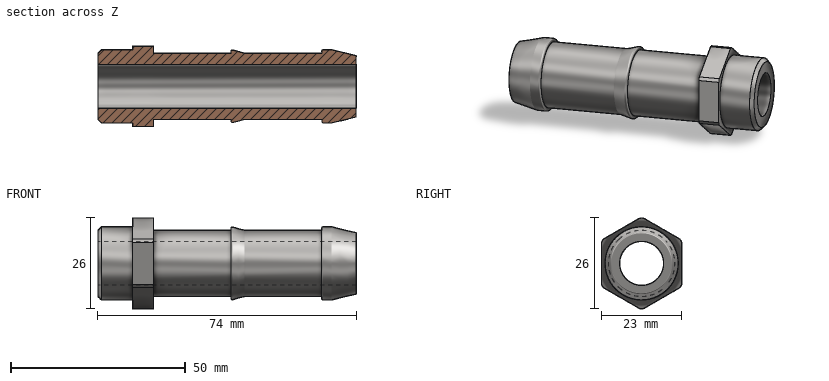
import cadquery as cq

length = 74
bore_diameter = 12.5
tube_diameter = 19.0

thread_diameter = 21.0
thread_length = 10.0
thread_chamfer = 1.0

hex_across_flats = 23.0
hex_corner_diameter = 26.0
hex_width = 6.0

barb_start = 38.0
barb_diameter = 21.2
barb_length = 4.0

head_start = 64.0
head_diameter = 21.0
head_straight_end = 67.0
tip_diameter = 17.6

barb_round = 0.5
tip_round = 0.4


def cylinder(start, diameter, height):
    return cq.Workplane("YZ", origin=(start, 0, 0)).circle(diameter / 2).extrude(height)


def revolve_about_x(points):
    return cq.Workplane("XY").polyline(points).close().revolve(360, (0, 0, 0), (1, 0, 0))


def make_hexagon():
    blank = cylinder(thread_length, hex_corner_diameter, hex_width)
    prism = (
        cq.Workplane("YZ", origin=(thread_length, 0, 0))
        .polygon(6, hex_across_flats, circumscribed=True)
        .extrude(hex_width)
    )
    return blank.intersect(prism)


def make_middle_barb():
    barb_end = barb_start + barb_length
    barb = revolve_about_x([
        (barb_start, 0),
        (barb_start, barb_diameter / 2),
        (barb_end, tube_diameter / 2),
        (barb_end, 0),
    ])
    return barb.faces("<X").edges().fillet(barb_round)


def make_head():
    head = revolve_about_x([
        (head_start, 0),
        (head_start, head_diameter / 2),
        (head_straight_end, head_diameter / 2),
        (length, tip_diameter / 2),
        (length, 0),
    ])
    head = head.faces("<X").edges().fillet(barb_round)
    return head.faces(">X").edges().fillet(tip_round)


thread = cylinder(0, thread_diameter, thread_length).faces("<X").chamfer(thread_chamfer)
tube = cylinder(thread_length, tube_diameter, head_start - thread_length)
bore = cylinder(0, bore_diameter, length)

result = (
    thread.union(tube)
    .union(make_hexagon())
    .union(make_middle_barb())
    .union(make_head())
    .cut(bore)
)